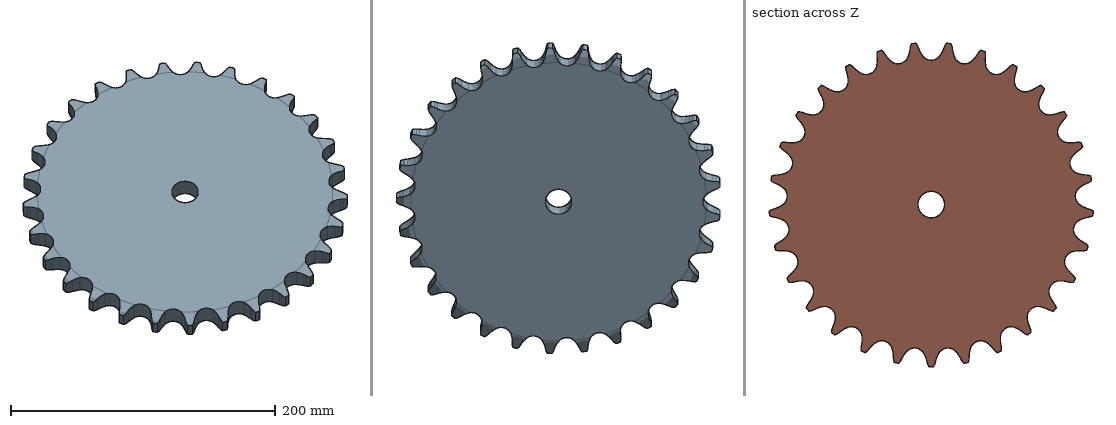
import cadquery as cq
import math


overall_width = 245.5
thickness = 16.2
bore_diameter = 20.0
tooth_count = 29
pitch_diameter = 234.8
roller_diameter = 16.0
tip_half_angle = math.radians(0.8)

side_arc_radius = 26.0
side_drop = 2.5

half_pitch_angle = math.pi / tooth_count
seating_radius = roller_diameter / 2
seating_angle = math.radians(55 - 60 / tooth_count)
working_angle = math.radians(18 - 56 / tooth_count)
working_radius = 1.3025 * roller_diameter
topping_angle = math.radians(17 - 64 / tooth_count)
straight_length = roller_diameter * (1.4 * math.sin(topping_angle) - 0.8 * math.sin(working_angle))

pitch_radius = pitch_diameter / 2
root_radius = pitch_radius - seating_radius
outer_radius = overall_width / 2 / math.cos(half_pitch_angle / 2 - tip_half_angle)


def polar(radius, angle):
    return (radius * math.cos(angle), radius * math.sin(angle))


def shift(point, distance, angle):
    dx, dy = polar(distance, angle)
    return (point[0] + dx, point[1] + dy)


def flank_points():
    """Points of the upper flank of a gap centred on +X, from the seating arc out to the tooth tip."""
    roller_center = (pitch_radius, 0)
    seating_normal = math.pi - seating_angle
    working_normal = seating_normal - working_angle
    straight_direction = working_normal - math.pi / 2

    seating_end = shift(roller_center, seating_radius, seating_normal)
    working_center = shift(seating_end, -working_radius, seating_normal)
    working_mid = shift(working_center, working_radius, seating_normal - working_angle / 2)
    working_end = shift(working_center, working_radius, working_normal)
    straight_end = shift(working_end, straight_length, straight_direction)
    tip_corner = polar(outer_radius, half_pitch_angle - tip_half_angle)

    chord_x = tip_corner[0] - straight_end[0]
    chord_y = tip_corner[1] - straight_end[1]
    turn = math.atan2(chord_y, chord_x) - straight_direction
    half_arc_chord = math.hypot(chord_x, chord_y) / 2 / math.cos(turn / 2)
    topping_mid = shift(straight_end, half_arc_chord, straight_direction + turn / 2)
    return seating_end, working_mid, working_end, straight_end, topping_mid, tip_corner


def placed(points, gap_angle, side):
    """Turn flank points to a gap; side +1 keeps the upper flank, -1 mirrors it to the lower one."""
    return [polar(math.hypot(x, y), gap_angle + side * math.atan2(y, x)) for x, y in points]


def make_toothed_plate():
    flank = flank_points()
    pitch_angle = 2 * half_pitch_angle
    first_gap_angle = half_pitch_angle - math.pi / 2
    start = placed(flank, first_gap_angle, -1)[0]
    outline = cq.Workplane("XY").workplane(offset=-thickness / 2).moveTo(*start)

    for index in range(tooth_count):
        gap_angle = first_gap_angle + index * pitch_angle
        rising_flank = placed(flank, gap_angle, 1)
        seating_end, working_mid, working_end, straight_end, topping_mid, tip_corner = rising_flank
        outline = (
            outline.threePointArc(polar(root_radius, gap_angle), seating_end)
            .threePointArc(working_mid, working_end)
            .lineTo(*straight_end)
            .threePointArc(topping_mid, tip_corner)
        )
        falling_flank = placed(flank, gap_angle + pitch_angle, -1)
        seating_end, working_mid, working_end, straight_end, topping_mid, tip_corner = falling_flank
        outline = (
            outline.threePointArc(polar(outer_radius, gap_angle + half_pitch_angle), tip_corner)
            .threePointArc(topping_mid, straight_end)
            .lineTo(*working_end)
            .threePointArc(working_mid, seating_end)
        )
    return outline.close().extrude(thickness)


def make_rounded_disc():
    """Disc whose two faces curve towards each other near the tooth tips."""
    face_z = thickness / 2
    tip_z = face_z - side_drop
    side_run = math.sqrt(side_arc_radius**2 - (side_arc_radius - side_drop) ** 2)
    flat_radius = outer_radius - side_run
    half_sweep = math.asin(side_run / side_arc_radius) / 2
    mid_radius = flat_radius + side_arc_radius * math.sin(half_sweep)
    mid_z = face_z - side_arc_radius * (1 - math.cos(half_sweep))
    return (
        cq.Workplane("XZ")
        .moveTo(0, -face_z)
        .lineTo(flat_radius, -face_z)
        .threePointArc((mid_radius, -mid_z), (outer_radius, -tip_z))
        .lineTo(outer_radius, tip_z)
        .threePointArc((mid_radius, mid_z), (flat_radius, face_z))
        .lineTo(0, face_z)
        .close()
        .revolve(360, (0, 0), (0, 1))
    )


def make_bore():
    return cq.Workplane("XY").circle(bore_diameter / 2).extrude(thickness, both=True)


result = make_toothed_plate().intersect(make_rounded_disc()).cut(make_bore())